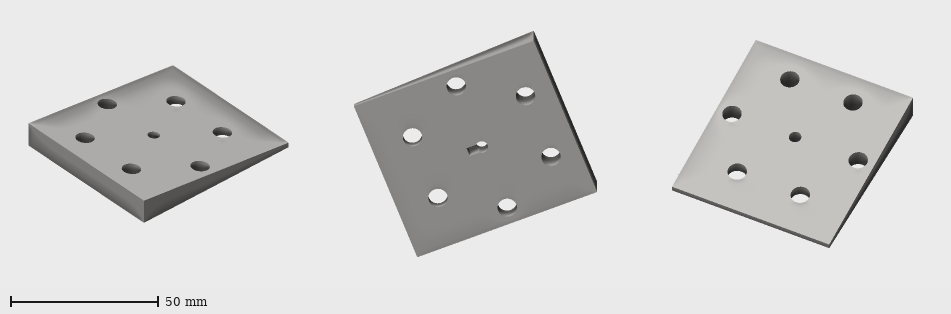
import cadquery as cq

width = 59.2
length = 65.49
thick_edge = 9.31
thin_edge = 1.9

pattern_x = 0.1
pattern_y = -2.25
ring_radius = 23.75
ring_count = 6
ring_hole_diameter = 6.6
center_hole_diameter = 4.23

slot_width = 3.0
slot_length = 5.0
slot_height = 4.2


def wedge():
    """Flat-bottomed plate whose top slopes down toward +Y, centred on X and Y."""
    profile = [
        (-length / 2, 0),
        (length / 2, 0),
        (length / 2, thin_edge),
        (-length / 2, thick_edge),
    ]
    return cq.Workplane("YZ").polyline(profile).close().extrude(width / 2, both=True)


def hole_cutters():
    """Vertical cylinders for the central hole and the ring of holes."""
    base = cq.Workplane("XY").center(pattern_x, pattern_y)
    center = base.circle(center_hole_diameter / 2).extrude(thick_edge)
    ring = (
        base.polarArray(ring_radius, 0, 360, ring_count)
        .circle(ring_hole_diameter / 2)
        .extrude(thick_edge)
    )
    return center.union(ring)


def slot_cutter():
    """Rectangular slot, open at the bottom, starting at the central hole's axis."""
    return (
        cq.Workplane("XY")
        .center(pattern_x, pattern_y)
        .box(slot_width, slot_length, slot_height, centered=(True, False, False))
    )


result = wedge().cut(hole_cutters()).cut(slot_cutter())